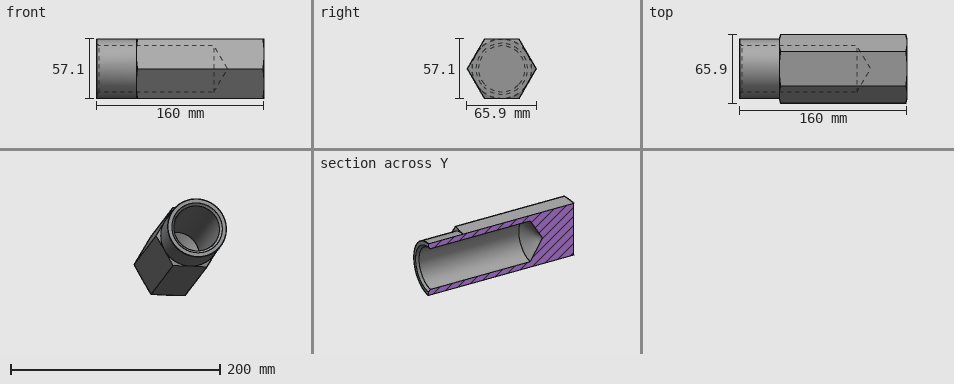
import cadquery as cq
import math

total_length = 160.0
across_flats = 57.1
across_corners = across_flats / math.cos(math.pi / 6)

spigot_length = 38.1
spigot_diameter = across_flats
spigot_edge_chamfer = 0.3

bevel_angle = math.radians(15)
bevel_diameter = across_flats

bore_diameter = 44.2
mouth_diameter = 49.0
mouth_chamfer_depth = 2.4
bore_depth = 112.0
drill_point_angle = math.radians(118)

open_end = -total_length / 2
closed_end = total_length / 2
shoulder = open_end + spigot_length


def make_hexagon():
    """Hexagonal bar with two flats facing up and down and two corners on the Y axis."""
    length = closed_end - shoulder
    return (
        cq.Workplane("YZ", origin=(shoulder, 0, 0))
        .polygon(6, across_corners)
        .extrude(length)
    )


def make_bevel_envelope():
    """Turned shape whose conical ends bevel the corners of the hexagon."""
    corner_radius = across_corners / 2
    bevel_radius = bevel_diameter / 2
    bevel_depth = (corner_radius - bevel_radius) * math.tan(bevel_angle)
    profile = [
        (shoulder, 0),
        (shoulder, bevel_radius),
        (shoulder + bevel_depth, corner_radius),
        (closed_end - bevel_depth, corner_radius),
        (closed_end, bevel_radius),
        (closed_end, 0),
    ]
    return revolve_about_x(profile)


def make_spigot():
    """Cylinder from the open end to the hexagon shoulder, its outer rim lightly chamfered."""
    return (
        cq.Workplane("YZ", origin=(open_end, 0, 0))
        .circle(spigot_diameter / 2)
        .extrude(spigot_length)
        .faces("<X")
        .chamfer(spigot_edge_chamfer)
    )


def make_bore():
    """Blind bore with a chamfered mouth and a conical bottom."""
    bore_radius = bore_diameter / 2
    bottom = open_end + bore_depth
    tip = bottom + bore_radius / math.tan(drill_point_angle / 2)
    profile = [
        (open_end, 0),
        (open_end, mouth_diameter / 2),
        (open_end + mouth_chamfer_depth, bore_radius),
        (bottom, bore_radius),
        (tip, 0),
    ]
    return revolve_about_x(profile)


def revolve_about_x(profile):
    """Revolve a closed (x, radius) profile about the X axis."""
    return cq.Workplane("XY").polyline(profile).close().revolve(360, (0, 0, 0), (1, 0, 0))


beveled_hexagon = make_hexagon().intersect(make_bevel_envelope())
result = beveled_hexagon.union(make_spigot()).cut(make_bore())